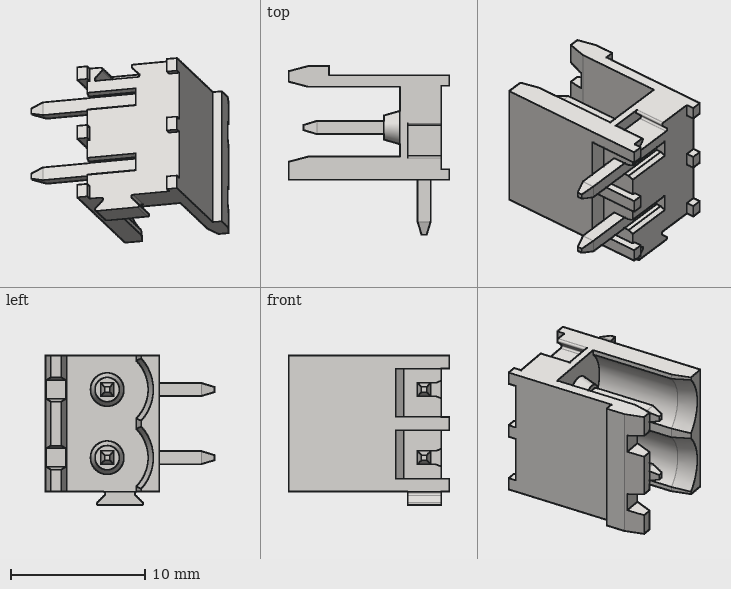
import cadquery as cq
import math


pole_count = 2
pitch = 5.08
height = pole_count * pitch
pole_heights = [(i + 0.5) * pitch for i in range(pole_count)]

length = 12.0
width = 7.8
back_face = 11.39
cavity_floor = 8.29
lower_wall = 1.74
latch_wall = 0.88
latch_inner = width - latch_wall
tab_thickness = 0.8

lead_length = 1.49
lead_depth = 0.39

barb_height = 0.69
barb_length = 3.02
notch_depth = 1.26
notch_mouth = 1.8
notch_floor = 1.39

pin_size = 1.0
pin_tip_size = 0.39
pin_taper = 1.0
pin_y = 3.89
mating_tip_x = 1.11
solder_x = 10.1
solder_tip_y = -4.11

collar_length = 1.18
collar_base_radius = 1.25
collar_tip_radius = 0.91

scallop_radius = 3.05

pocket_start = 8.0
pocket_depth = 0.59
edge_rib = 0.98
middle_rib = 1.01
pocket_height = (height - 2 * edge_rib - (pole_count - 1) * middle_rib) / pole_count
pocket_bottoms = [edge_rib + i * (pocket_height + middle_rib) for i in range(pole_count)]
slot_flare_length = 0.4
slot_mouth = 1.34

dovetail_start = 8.87
dovetail_y = 2.94
dovetail_height = 1.01
neck_half_width = 1.11
groove_clearance = 0.03
neck_radius = 0.15
foot_radius = 0.13


def make_housing():
    outline = [
        (0, 0),
        (length, 0),
        (length, tab_thickness),
        (back_face, tab_thickness),
        (back_face, width - tab_thickness),
        (length, width - tab_thickness),
        (length, width),
        (barb_length, width),
        (barb_length, width + barb_height),
        (lead_length, width + barb_height),
        (0, width + barb_height - lead_depth),
        (0, latch_inner + lead_depth),
        (lead_length, latch_inner),
        (cavity_floor, latch_inner),
        (cavity_floor, lower_wall),
        (lead_length, lower_wall),
        (0, lower_wall - lead_depth),
    ]
    return cq.Workplane("XY").polyline(outline).close().extrude(height)


def make_notch(z):
    """Tapered notch in the latch barb, narrowing away from the opening."""
    outline = [
        (0, z - notch_mouth / 2),
        (0, z + notch_mouth / 2),
        (notch_depth, z + notch_floor / 2),
        (notch_depth, z - notch_floor / 2),
    ]
    barb_top = width + barb_height
    return (
        cq.Workplane("XZ", origin=(0, barb_top, 0))
        .polyline(outline)
        .close()
        .extrude(barb_top - latch_inner)
    )


def make_scallop(z):
    """Round clearance about the pin axis that widens towards the opening."""
    profile = [
        (0, 0),
        (0, scallop_radius + lead_depth),
        (lead_length, scallop_radius),
        (cavity_floor, scallop_radius),
        (cavity_floor, 0),
    ]
    body = cq.Workplane("XY").polyline(profile).close().revolve(360, (0, 0, 0), (1, 0, 0))
    lower_half = cq.Workplane("XY").box(
        cavity_floor, 2 * pin_y, 2 * height, centered=(False, True, True)
    ).translate((0, -pin_y, 0))
    return body.intersect(lower_half).translate((0, pin_y, z))


def make_pocket(bottom):
    """Recess in the outside of the lower wall, sloped at its front end, with gaps in both back tabs."""
    outline = [
        (pocket_start, 0),
        (pocket_start + pocket_depth, pocket_depth),
        (back_face, pocket_depth),
        (back_face, width),
        (length, width),
        (length, 0),
    ]
    return cq.Workplane("XY", origin=(0, 0, bottom)).polyline(outline).close().extrude(pocket_height)


def make_insertion_slot(z):
    """Slot from the back face to the solder pin, flared at its mouth."""
    flare_start = back_face - slot_flare_length
    half_pin = pin_size / 2
    outline = [
        (solder_x, z - half_pin),
        (flare_start, z - half_pin),
        (back_face, z - slot_mouth / 2),
        (back_face, z + slot_mouth / 2),
        (flare_start, z + half_pin),
        (solder_x, z + half_pin),
    ]
    return cq.Workplane("XZ").polyline(outline).close().extrude(-(pin_y + half_pin))


def make_straight_pin(shank):
    """Square pin along local Z from its root to a tapered tip."""
    return (
        cq.Workplane("XY")
        .rect(pin_size, pin_size)
        .extrude(shank)
        .faces(">Z")
        .workplane()
        .rect(pin_size, pin_size)
        .workplane(offset=pin_taper)
        .rect(pin_tip_size, pin_tip_size)
        .loft(combine=True)
    )


def make_bent_pin(z):
    """Mating leg and solder leg meeting in a square corner."""
    half_pin = pin_size / 2
    mating_shank = solder_x + half_pin - mating_tip_x - pin_taper
    solder_shank = pin_y + half_pin - solder_tip_y - pin_taper
    mating_leg = (
        make_straight_pin(mating_shank)
        .rotate((0, 0, 0), (0, 1, 0), -90)
        .translate((solder_x + half_pin, pin_y, z))
    )
    solder_leg = (
        make_straight_pin(solder_shank)
        .rotate((0, 0, 0), (1, 0, 0), 90)
        .translate((solder_x, pin_y + half_pin, z))
    )
    return mating_leg.union(solder_leg)


def make_collar(z):
    return (
        cq.Workplane("YZ", origin=(cavity_floor, pin_y, z))
        .circle(collar_base_radius)
        .workplane(offset=-collar_length)
        .circle(collar_tip_radius)
        .loft()
    )


def make_dovetail(half_width):
    """Dovetail bar hanging below Z = 0, with 45 degree flanks between rounded neck and foot edges."""
    diagonal = math.sqrt(0.5)
    neck_centre = half_width + neck_radius
    flank_top = (neck_centre - diagonal * neck_radius, -(1 + diagonal) * neck_radius)

    bottom = -dovetail_height
    flank_bottom_z = bottom + (1 + diagonal) * foot_radius
    flank_bottom_y = flank_top[0] + flank_top[1] - flank_bottom_z
    foot_centre_y = flank_bottom_y - diagonal * foot_radius
    foot_centre_z = bottom + foot_radius

    half_bar = (
        cq.Workplane("YZ", origin=(dovetail_start, dovetail_y, 0))
        .lineTo(neck_centre, 0)
        .threePointArc((half_width, -neck_radius), flank_top)
        .lineTo(flank_bottom_y, flank_bottom_z)
        .threePointArc((foot_centre_y + foot_radius, foot_centre_z), (foot_centre_y, bottom))
        .lineTo(0, bottom)
        .close()
        .extrude(back_face - dovetail_start)
    )
    return half_bar.union(half_bar.mirror("XZ", (0, dovetail_y, 0)))


housing = make_housing()
for z in pole_heights:
    housing = housing.cut(make_notch(z))
    housing = housing.cut(make_scallop(z))
    housing = housing.cut(make_insertion_slot(z))
for bottom in pocket_bottoms:
    housing = housing.cut(make_pocket(bottom))

groove = make_dovetail(neck_half_width + groove_clearance).translate((0, 0, height))
housing = housing.cut(groove)
housing = housing.union(make_dovetail(neck_half_width))

result = housing
for z in pole_heights:
    result = result.union(make_collar(z)).union(make_bent_pin(z))